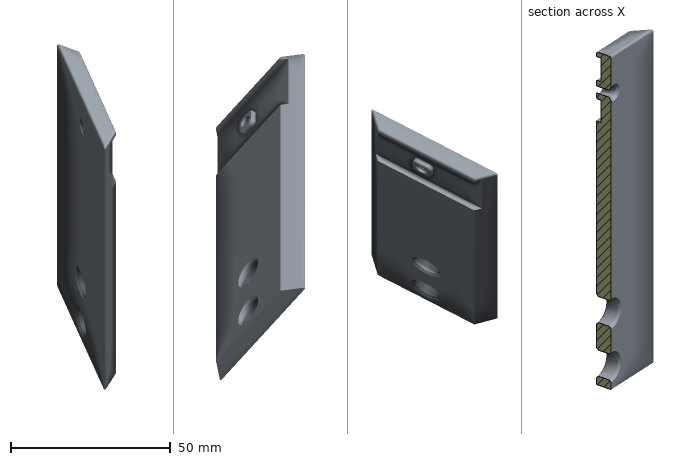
import cadquery as cq
import math

WIDTH = 45.12
THICKNESS = 5.78
HEIGHT = 118.36
EDGE_RADIUS = 0.75
FRONT_CORNER_RADIUS = 0.35
CORNER_LOSS = FRONT_CORNER_RADIUS * math.sqrt(2)
SHARP_WIDTH = WIDTH + 2 * CORNER_LOSS

HOLE_DIAMETER = 9.14
HOLE_PITCH = 19.05
LOWER_HOLE_Z = 7.88
HOLE_BEVEL = 0.75

SMALL_HOLE_DIAMETER = 4.01
SMALL_HOLE_X = 1.65
SMALL_HOLE_Z = HEIGHT - 13.45
SMALL_HOLE_BEVEL = 0.85

POCKET_DEPTH = 1.75
POCKET_TOP_Z = HEIGHT - 1.85
POCKET_BOTTOM_Z = HEIGHT - 24.6
BOSS_SIZE = 6.8
BOSS_CORNER_RADIUS = 1.8
BOSS_BEVEL = 0.35


def make_plate():
    """Dovetail plate with every edge rounded except those of the bottom end."""
    front_half = SHARP_WIDTH / 2
    back_half = front_half - THICKNESS
    outline = [(-front_half, 0), (front_half, 0), (back_half, THICKNESS), (-back_half, THICKNESS)]
    plate = cq.Workplane("XY").polyline(outline).close().extrude(HEIGHT)
    plate = plate.edges("|Z and <Y").fillet(FRONT_CORNER_RADIUS)
    plate = plate.edges(">Z").fillet(EDGE_RADIUS)
    return plate.edges("|Z and >Y").fillet(EDGE_RADIUS)


def make_pocket():
    """Cutter for the cross pocket in the back face."""
    floor_y = THICKNESS - POCKET_DEPTH
    pocket_height = POCKET_TOP_Z - POCKET_BOTTOM_Z
    return (
        cq.Workplane("XY")
        .box(SHARP_WIDTH, POCKET_DEPTH, pocket_height, centered=(True, False, False))
        .translate((0, floor_y, POCKET_BOTTOM_Z))
    )


def make_boss():
    """Square boss with rounded corners, standing from the pocket floor to the back face."""
    return (
        cq.Workplane("XY")
        .box(BOSS_SIZE, POCKET_DEPTH, BOSS_SIZE, centered=(True, False, True))
        .edges("|Y")
        .fillet(BOSS_CORNER_RADIUS)
        .faces(">Y")
        .chamfer(BOSS_BEVEL)
        .translate((SMALL_HOLE_X, THICKNESS - POCKET_DEPTH, SMALL_HOLE_Z))
    )


def make_hole(x, z, diameter, front_bevel, back_bevel=0):
    """Cutter for a through hole with 45 degree bevels at its front and back rims."""
    radius = diameter / 2
    profile = [(0, 0), (radius + front_bevel, 0), (radius, front_bevel)]
    profile.append((radius, THICKNESS - back_bevel))
    if back_bevel > 0:
        profile.append((radius + back_bevel, THICKNESS))
    profile.append((0, THICKNESS))
    return (
        cq.Workplane("XY")
        .polyline(profile)
        .close()
        .revolve(axisStart=(0, 0, 0), axisEnd=(0, 1, 0))
        .translate((x, 0, z))
    )


result = make_plate().cut(make_pocket()).union(make_boss())
result = result.cut(make_hole(SMALL_HOLE_X, SMALL_HOLE_Z, SMALL_HOLE_DIAMETER, SMALL_HOLE_BEVEL))
for hole_z in (LOWER_HOLE_Z, LOWER_HOLE_Z + HOLE_PITCH):
    result = result.cut(make_hole(0, hole_z, HOLE_DIAMETER, HOLE_BEVEL, HOLE_BEVEL))